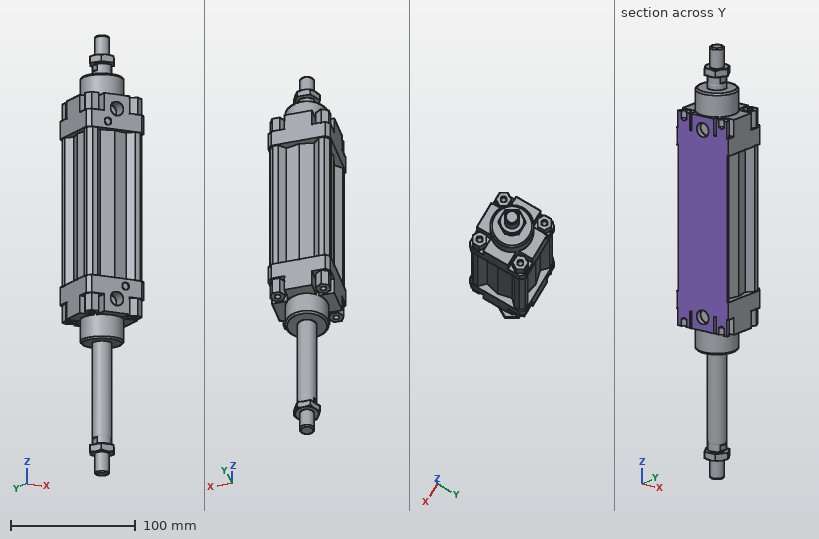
import cadquery as cq
import math


barrel_length = 123.0
barrel_half_width = 24.9
barrel_corner_chamfer = 3.4
groove_outer = 17.0
groove_inner = 11.6
ridge_angle = 13.0

cap_width = 52.0
cap_length = 29.0
cap_corner_chamfer = 3.4
notch_depth = 14.3
notch_wall = 11.5

post_position = 19.0
post_across_flats = 11.0
post_hole_diameter = 5.0
post_hole_depth = 6.0
drill_tip_angle = 118.0

collar_diameter = 35.0
collar_length = 19.5
collar_chamfer = 1.5

port_diameter = 11.5
port_depth = 12.0
port_offset = 11.7
cushion_diameter = 6.0
cushion_depth = 1.0
cushion_offset = 23.0
cushion_side = 8.0

rod_diameter = 16.0
rod_top_stub = 10.5
rod_bottom_stub = 84.5
thread_diameter = 12.0
thread_length = 24.0
thread_chamfer = 1.2
neck_diameter = 15.5
neck_length = 6.0
neck_chamfer = 0.9
flat_across = 13.2
flat_length = 5.3

nut_across_flats = 19.0
nut_height = 6.0
nut_gap = 1.0
nut_chamfer_angle = 30.0

cap_half_width = cap_width / 2
cap_outer_z = barrel_length / 2 + cap_length
collar_end_z = cap_outer_z + collar_length
top_thread_z = collar_end_z + rod_top_stub
bottom_thread_z = -(collar_end_z + rod_bottom_stub)


def across_corners(across_flats):
    return across_flats / math.cos(math.radians(30))


def make_barrel():
    """Square barrel whose four sides share one grooved and ridged profile."""
    land_end = barrel_half_width - barrel_corner_chamfer
    groove_floor = barrel_half_width - (groove_outer - groove_inner)
    ridge_top = groove_floor + groove_inner * math.tan(math.radians(ridge_angle))
    side = [
        (-land_end, -barrel_half_width),
        (-groove_outer, -barrel_half_width),
        (-groove_inner, -groove_floor),
        (0, -ridge_top),
        (groove_inner, -groove_floor),
        (groove_outer, -barrel_half_width),
        (land_end, -barrel_half_width),
    ]
    outline = []
    for _ in range(4):
        outline.extend(side)
        side = [(-y, x) for x, y in side]
    return cq.Workplane("XY").polyline(outline).close().extrude(barrel_length / 2, both=True)


def make_post(quarter):
    """Hexagonal post of one corner of the upper cap, with a drilled hole in its end."""
    hexagon = cq.Workplane("XY").polygon(6, across_corners(post_across_flats)).extrude(notch_depth)
    radius = post_hole_diameter / 2
    tip_depth = radius / math.tan(math.radians(drill_tip_angle / 2))
    floor = notch_depth - post_hole_depth
    drill = (
        cq.Workplane("XZ")
        .polyline([(0, floor - tip_depth), (radius, floor), (radius, notch_depth), (0, notch_depth)])
        .close()
        .revolve(360, (0, 0, 0), (0, 1, 0))
    )
    post = hexagon.cut(drill).translate((-post_position, -post_position, cap_outer_z - notch_depth))
    return post.rotate((0, 0, 0), (0, 0, 1), 90 * quarter)


def side_hole(x, z, diameter, depth):
    return (
        cq.Workplane("XZ", origin=(x, -cap_half_width, z))
        .circle(diameter / 2)
        .extrude(-depth)
    )


def make_blank_cap():
    """Upper cap with its collar and corner posts, before the side holes."""
    cap = (
        cq.Workplane("XY", origin=(0, 0, barrel_length / 2))
        .rect(cap_width, cap_width)
        .extrude(cap_length)
        .edges("|Z")
        .chamfer(cap_corner_chamfer)
    )
    notch_width = cap_half_width - notch_wall
    notch_center = notch_wall + notch_width / 2
    notches = (
        cq.Workplane("XY", origin=(0, 0, cap_outer_z - notch_depth))
        .rect(2 * notch_center, 2 * notch_center, forConstruction=True)
        .vertices()
        .rect(notch_width, notch_width)
        .extrude(notch_depth)
    )
    collar = (
        cq.Workplane("XY", origin=(0, 0, cap_outer_z - notch_depth))
        .circle(collar_diameter / 2)
        .extrude(notch_depth + collar_length)
        .faces(">Z")
        .chamfer(collar_chamfer)
    )
    cap = cap.cut(notches).union(collar)
    for quarter in range(4):
        cap = cap.union(make_post(quarter))
    return cap


def make_body():
    upper_cap = make_blank_cap()
    body = make_barrel().union(upper_cap).union(upper_cap.mirror("XY"))
    for end in (-1, 1):
        port_z = end * (cap_outer_z - port_offset)
        cushion_z = end * (cap_outer_z - cushion_offset)
        body = body.cut(side_hole(0, port_z, port_diameter, port_depth))
        body = body.cut(side_hole(-end * cushion_side, cushion_z, cushion_diameter, cushion_depth))
    bore = cq.Workplane("XY").circle(rod_diameter / 2).extrude(collar_end_z, both=True)
    return body.cut(bore)


def make_rod_end():
    """Neck, wrench flats and thread of one rod end, with the start of the thread on z = 0."""
    rod_radius = rod_diameter / 2
    neck_radius = neck_diameter / 2
    thread_radius = thread_diameter / 2
    full_rod_z = -(neck_length + neck_chamfer)
    rod_end = (
        cq.Workplane("XZ")
        .polyline([
            (0, full_rod_z),
            (rod_radius, full_rod_z),
            (neck_radius, -neck_length),
            (neck_radius, 0),
            (thread_radius, 0),
            (thread_radius, thread_length - thread_chamfer),
            (thread_radius - thread_chamfer, thread_length),
            (0, thread_length),
        ])
        .close()
        .revolve(360, (0, 0, 0), (0, 1, 0))
    )
    flat_depth = (neck_diameter - flat_across) / 2
    flat_x = (flat_across + flat_depth) / 2
    for side in (-1, 1):
        flat = cq.Workplane("XY").box(flat_depth, neck_diameter, flat_length)
        rod_end = rod_end.cut(flat.translate((side * flat_x, 0, -flat_length / 2)))
    return rod_end


def make_rod():
    end_length = neck_length + neck_chamfer
    shank_bottom_z = bottom_thread_z + end_length
    shank_top_z = top_thread_z - end_length
    shank = (
        cq.Workplane("XY", origin=(0, 0, shank_bottom_z))
        .circle(rod_diameter / 2)
        .extrude(shank_top_z - shank_bottom_z)
    )
    rod_end = make_rod_end()
    upper_end = rod_end.translate((0, 0, top_thread_z))
    lower_end = rod_end.mirror("XY").translate((0, 0, bottom_thread_z))
    return shank.union(upper_end).union(lower_end)


def make_nut():
    """Nut resting on z = 0, with its chamfered end up."""
    corner_radius = across_corners(nut_across_flats) / 2
    flat_radius = nut_across_flats / 2
    chamfer_height = (corner_radius - flat_radius) * math.tan(math.radians(nut_chamfer_angle))
    hexagon = cq.Workplane("XY").polygon(6, 2 * corner_radius).extrude(nut_height)
    turned_blank = (
        cq.Workplane("XZ")
        .polyline([
            (0, 0),
            (corner_radius, 0),
            (corner_radius, nut_height - chamfer_height),
            (flat_radius, nut_height),
            (0, nut_height),
        ])
        .close()
        .revolve(360, (0, 0, 0), (0, 1, 0))
    )
    bore = cq.Workplane("XY").circle(thread_diameter / 2).extrude(nut_height)
    return hexagon.intersect(turned_blank).cut(bore)


body = make_body()
rod = make_rod()
upper_nut = make_nut().translate((0, 0, top_thread_z + nut_gap))
lower_nut = make_nut().mirror("XY").translate((0, 0, bottom_thread_z - nut_gap))

result = cq.Compound.makeCompound([body.val(), rod.val(), upper_nut.val(), lower_nut.val()])